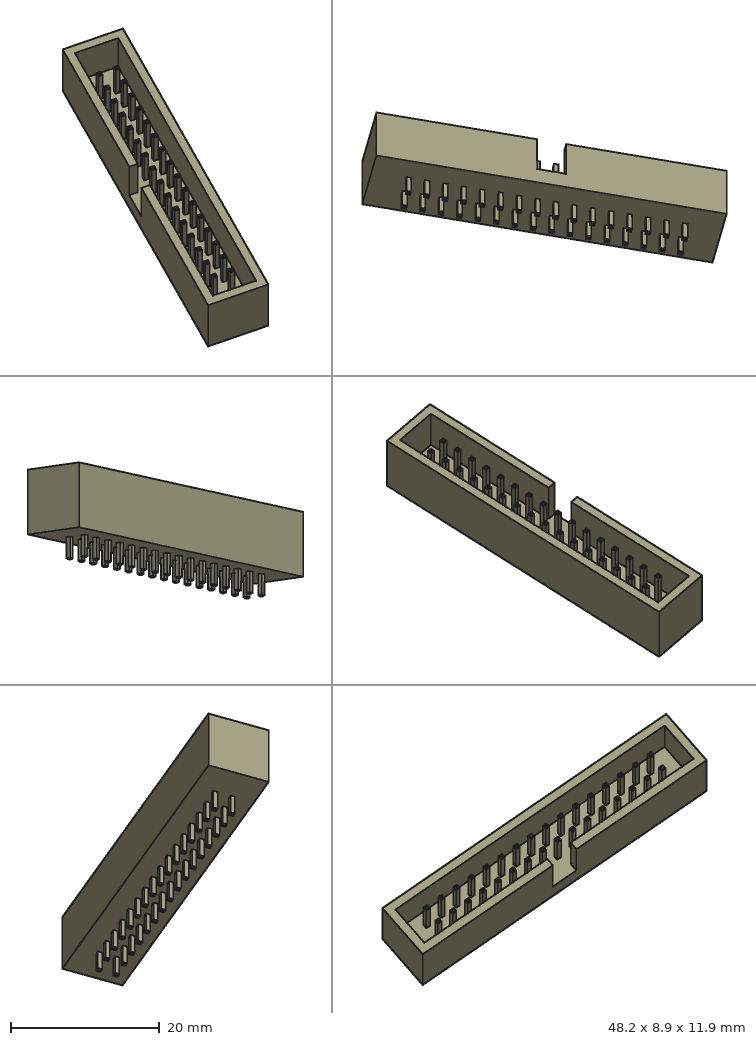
import cadquery as cq

length = 48.25
width = 8.9
housing_height = 8.9
wall = 1.25
cavity_depth = 6.15

slot_width = 4.0

pin_columns = 16
pin_rows = 2
pin_span = 38.1
pin_pitch = pin_span / (pin_columns - 1)
pin_size = 0.65
pin_tip_chamfer = 0.17
pin_protrusion = 3.05
pin_top_gap = 0.9

cavity_floor = housing_height - cavity_depth


def make_housing():
    """Open-topped box with its underside at Z = 0, centred on X and Y."""
    return cq.Workplane("XY").box(length, width, housing_height, centered=(True, True, False))


def make_cavity():
    """Rectangular space inside the four walls."""
    return (
        cq.Workplane("XY", origin=(0, 0, cavity_floor))
        .rect(length - 2 * wall, width - 2 * wall)
        .extrude(cavity_depth)
    )


def make_slot():
    """Slot through the front wall, open at the top and level with the cavity floor."""
    return (
        cq.Workplane("XY", origin=(0, (wall - width) / 2, cavity_floor))
        .rect(slot_width, wall)
        .extrude(cavity_depth)
    )


def make_pins():
    """Grid of square pins running through the floor, chamfered at both tips."""
    pin_length = pin_protrusion + housing_height - pin_top_gap
    pin = (
        cq.Workplane("XY", origin=(0, 0, -pin_protrusion))
        .rect(pin_size, pin_size)
        .extrude(pin_length)
        .faces("<Z or >Z")
        .chamfer(pin_tip_chamfer)
        .val()
    )
    return (
        cq.Workplane("XY")
        .rarray(pin_pitch, pin_pitch, pin_columns, pin_rows)
        .eachpoint(lambda place: pin.moved(place))
    )


result = make_housing().cut(make_cavity()).cut(make_slot()).union(make_pins())